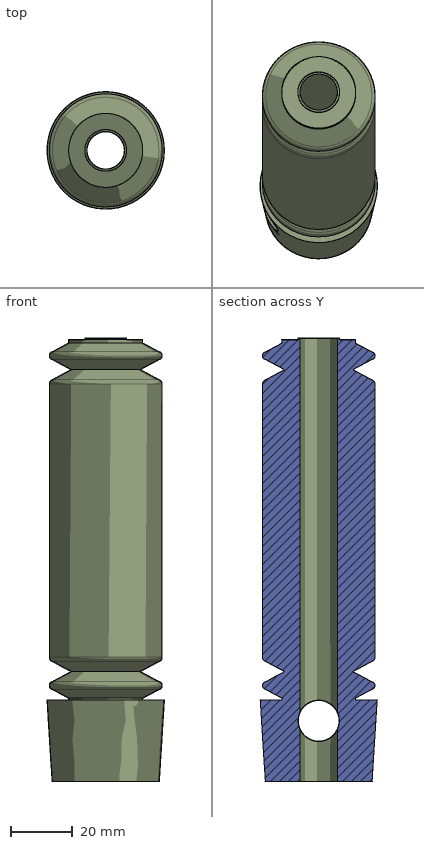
import cadquery as cq

total_height = 143.3
body_radius = 36.5 / 2
bore_radius = 12.0 / 2

plug_height = 26.4
plug_top_radius = 38.0 / 2
plug_bottom_radius = 17.3

flank_radius = 17.2
groove_radius = 11.2
flank_height = 3.22
rib_half_round = 1.3
body_round_height = 1.5
body_round_mid_radius = 17.99
body_round_mid_offset = 0.6

collar_radius = 24.0 / 2
collar_flank_height = flank_height * (flank_radius - collar_radius) / (flank_radius - groove_radius)
lower_groove_z = 35.5
upper_groove_z = 133.1
collar_top = 142.9

rim_radius = 13.5 / 2

side_hole_diameter = 13.2
side_hole_z = 19.6

lower_rib_z = lower_groove_z - flank_height - rib_half_round
upper_rib_z = upper_groove_z + flank_height + rib_half_round
body_bottom_flank_z = lower_groove_z + flank_height
body_top_flank_z = upper_groove_z - flank_height
collar_offset = rib_half_round + collar_flank_height


def add_rib_tip(profile, rib_z):
    """Continue the profile to a rib and around its rounded tip."""
    return profile.lineTo(flank_radius, rib_z - rib_half_round).threePointArc(
        (body_radius, rib_z), (flank_radius, rib_z + rib_half_round)
    )


def make_turned_body():
    """Revolve the outer half profile, from the bottom upward."""
    profile = (
        cq.Workplane("XZ")
        .lineTo(plug_bottom_radius, 0)
        .lineTo(plug_top_radius, plug_height)
        .lineTo(collar_radius, plug_height)
        .lineTo(collar_radius, lower_rib_z - collar_offset)
    )
    profile = add_rib_tip(profile, lower_rib_z)
    profile = (
        profile.lineTo(groove_radius, lower_groove_z)
        .lineTo(flank_radius, body_bottom_flank_z)
        .threePointArc(
            (body_round_mid_radius, body_bottom_flank_z + body_round_mid_offset),
            (body_radius, body_bottom_flank_z + body_round_height),
        )
        .lineTo(body_radius, body_top_flank_z - body_round_height)
        .threePointArc(
            (body_round_mid_radius, body_top_flank_z - body_round_mid_offset),
            (flank_radius, body_top_flank_z),
        )
        .lineTo(groove_radius, upper_groove_z)
    )
    profile = add_rib_tip(profile, upper_rib_z)
    profile = (
        profile.lineTo(collar_radius, upper_rib_z + collar_offset)
        .lineTo(collar_radius, collar_top)
        .lineTo(rim_radius, collar_top)
        .lineTo(rim_radius, total_height)
        .lineTo(0, total_height)
        .close()
    )
    return profile.revolve(360, (0, 0, 0), (0, 1, 0))


def make_bore():
    return cq.Workplane("XY").circle(bore_radius).extrude(total_height)


def make_side_hole():
    """Radial cylinder from the axis out through the +Y side."""
    return (
        cq.Workplane("XZ")
        .center(0, side_hole_z)
        .circle(side_hole_diameter / 2)
        .extrude(-plug_top_radius)
    )


result = make_turned_body().cut(make_bore()).cut(make_side_hole())